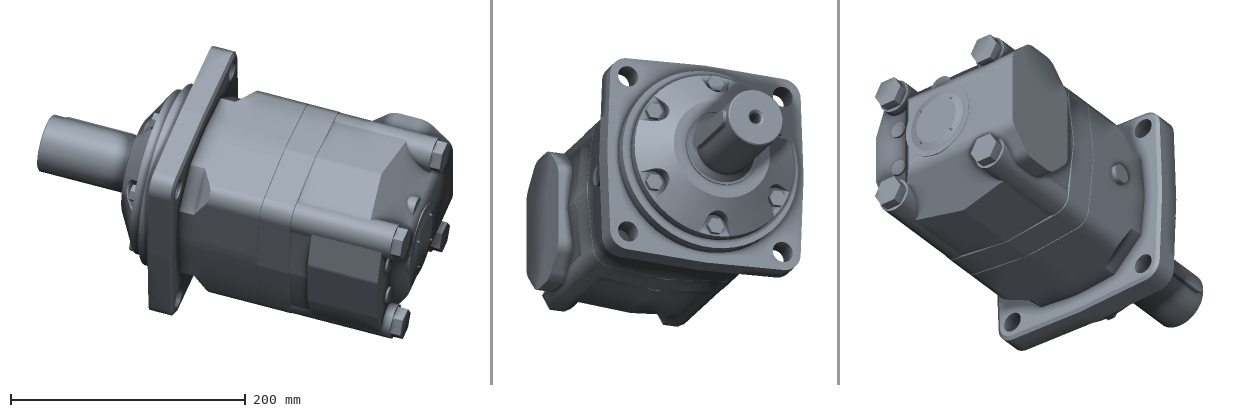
import cadquery as cq
import math


shoulder_start = 77.7
cover_face = 82.5
cone_end = 100.7
cover_back = 110.3
flange_front = 122.0
flange_back = 143.5
gear_front = 214.7
gear_back = 243.2
post_end = 332.5
rear_end = 338.7
total_length = 342.5

overrun = 3.5

shaft_radius = 25.0
shoulder_dia = 60.0
shoulder_radius = shoulder_dia / 2
shaft_chamfer = 1.0
center_hole_dia = 10.3
center_sink_dia = 14.0
center_hole_depth = 27.5
drill_point_angle = 118
key_width = 14.0
key_start = 5.5
key_end = 75.0
key_top = 28.0
key_bottom = 19.2

cover_face_radius = 44.0
cover_radius = 72.5
seal_radius = 33.5
seal_lip_radius = 32.0
seal_recess = 1.0
seal_back = 90.5
screw_circle_radius = 64.7
screw_count = 6
screw_flats = 13.0
screw_head_height = 4.5
screw_pocket_radius = 11.0
pocket_flare = 18

ridge = 72.5
corner = 65.8
corner_radius = 15.0
front_ridge_radius = 98.3
gear_edge_chamfer = 0.7

pilot_dia = 160.0
flange_height = 179.0
flange_corner = 86.3
flange_corner_radius = 16.0
flange_hole_dia = 18.0
flange_hole_place = 70.5
flange_bevel_depth = 2.0
flange_bevel_width = 3.0
relief_flat_end = 156.5
relief_flat_distance = 76.5
relief_height = 27.5

plug_x = 181.2
plug_dia = 17.0
plug_top = 76.7
plug_seat = 74.0
plug_shank_dia = 10.3
plug_bottom = 65.0
plug_boss_root = 68.5

rear_corner = 64.0
rear_corner_radius = 20.5
rear_ridge_radius = 12.5
post_dia = 30.0
post_place = 51.7
bolt_flats = 24.0
bolt_head_height = 9.0
block_start = 262.0
port_half_height = 59.0
port_face = 81.0
port_root = 41.0
port_bevel = 23.0
port_round = 16.0
side_bevel = 31.0
pad_end = 325.0
pad_face = 77.0
pad_edge = 66.8
pad_half_height = 52.0
pad_face_half = 22.5
pad_round = 8.2
pad_root = 41.0
top_boss_dia = 22.0
top_boss_z = 37.7
top_boss_end = 334.0
side_boss_dia = 14.7
side_boss_y = 51.5
side_boss_z = 20.0
side_boss_end = 327.0
boss_start = 308.2
end_disc_radius = 34.0
end_disc_start = 332.2
end_disc_face = 339.0
dome_radius = 28.0
dome_top_radius = 21.2
dome_top = 340.8
rivet_place = 16.0
rivet_radius = 1.7
rivet_tip_radius = 0.5
rivet_start = 339.8


def four_corners(place):
    """The (y, z) points of a square pattern about the shaft axis."""
    return [(y, z) for y in (-place, place) for z in (-place, place)]


def cylinder(x_start, x_end, radius, y=0, z=0):
    """Cylinder along X."""
    return cq.Workplane("YZ", origin=(x_start, y, z)).circle(radius).extrude(x_end - x_start)


def hex_head(x_start, height, flats, y, z):
    """Hexagonal head along X with two of its corners pointing to +Y and -Y."""
    across_corners = flats / math.cos(math.pi / 6)
    return cq.Workplane("YZ", origin=(x_start, y, z)).polygon(6, across_corners).extrude(height)


def revolved(profile):
    """Solid of revolution about the shaft axis from (x, radius) points."""
    return cq.Workplane("XY").polyline(profile).close().revolve(360, (0, 0, 0), (1, 0, 0))


def ridged_block(x_start, x_end, ridge_height, corner_place, rounding, ridge_rounding=0):
    """Block along X: a square with rounded corners whose sides peak at the middle."""
    r, c = ridge_height, corner_place
    outline = [(r, 0), (c, c), (0, r), (-c, c), (-r, 0), (-c, -c), (0, -r), (c, -c)]
    block = cq.Workplane("YZ", origin=(x_start, 0, 0)).polyline(outline).close().extrude(x_end - x_start)

    def edge_at(y, z):
        low = (x_start, y - overrun, z - overrun)
        high = (x_end, y + overrun, z + overrun)
        return cq.selectors.BoxSelector(low, high)

    for y, z in four_corners(c):
        block = block.edges(edge_at(y, z)).fillet(rounding)
    if ridge_rounding:
        for y, z in ((r, 0), (0, r), (-r, 0), (0, -r)):
            block = block.edges(edge_at(y, z)).fillet(ridge_rounding)
    return block


def make_key():
    middle = (key_start + key_end) / 2
    return (
        cq.Workplane("XZ", origin=(middle, key_bottom, 0))
        .slot2D(key_end - key_start, key_width)
        .extrude(-(key_top - key_bottom))
    )


def make_shaft():
    shoulder_end = shoulder_start + shoulder_radius - shaft_radius
    shaft = revolved([
        (0, 0),
        (0, shaft_radius - shaft_chamfer),
        (shaft_chamfer, shaft_radius),
        (shoulder_start, shaft_radius),
        (shoulder_end, shoulder_radius),
        (cover_back, shoulder_radius),
        (cover_back, 0),
    ])
    hole_radius = center_hole_dia / 2
    sink_radius = center_sink_dia / 2
    point_length = hole_radius / math.tan(math.radians(drill_point_angle / 2))
    center_hole = revolved([
        (0, 0),
        (0, sink_radius),
        (sink_radius - hole_radius, hole_radius),
        (center_hole_depth, hole_radius),
        (center_hole_depth + point_length, 0),
    ])
    return shaft.cut(center_hole).cut(make_key())


def make_seal():
    return revolved([
        (cover_face + seal_recess, seal_radius),
        (cover_face + seal_recess, seal_lip_radius),
        (cover_face, seal_lip_radius),
        (cover_face, shoulder_radius),
        (seal_back, shoulder_radius),
        (seal_back, seal_radius),
    ])


def screw_pocket():
    """Flared U-shaped pocket for the screw on the +Z side, open outward."""
    flare = math.radians(pocket_flare)
    side = screw_pocket_radius * math.cos(flare)
    drop = screw_pocket_radius * math.sin(flare)
    reach = cover_radius - screw_circle_radius + overrun
    outer_side = side + (reach + drop) * math.tan(flare)
    return (
        cq.Workplane("YZ", origin=(cover_face, 0, screw_circle_radius))
        .moveTo(outer_side, reach)
        .lineTo(side, -drop)
        .threePointArc((0, -screw_pocket_radius), (-side, -drop))
        .lineTo(-outer_side, reach)
        .close()
        .extrude(cone_end - cover_face)
    )


def make_cover():
    cover = revolved([
        (cover_face, seal_radius),
        (cover_face, cover_face_radius),
        (cone_end, cover_radius),
        (cover_back, cover_radius),
        (cover_back, shoulder_radius),
        (seal_back, shoulder_radius),
        (seal_back, seal_radius),
    ])
    for i in range(screw_count):
        turn = 360 / screw_count * i
        cover = cover.cut(screw_pocket().rotate((0, 0, 0), (1, 0, 0), turn))
    for i in range(screw_count):
        turn = 2 * math.pi / screw_count * i
        y = screw_circle_radius * math.sin(turn)
        z = screw_circle_radius * math.cos(turn)
        cover = cover.union(hex_head(cone_end - screw_head_height, screw_head_height, screw_flats, y, z))
    return cover


def corner_relief():
    """Nut clearance cutter beyond +Y, to be turned to a corner: a flat and a 45 degree run-out."""
    d, h = relief_flat_distance, relief_height
    width = 2 * ridge
    return (
        cq.Workplane("XY", origin=(0, 0, -width / 2))
        .polyline([(flange_back, d), (relief_flat_end, d), (relief_flat_end + h, d + h), (flange_back, d + h)])
        .close()
        .extrude(width)
    )


def plug_cylinder(y_start, y_end, diameter):
    """Cylinder along Y on the plug axis."""
    return cq.Workplane("XZ", origin=(plug_x, y_start, 0)).circle(diameter / 2).extrude(y_start - y_end)


def make_plug():
    head = plug_cylinder(plug_seat, plug_top, plug_dia)
    return head.union(plug_cylinder(plug_bottom, plug_seat, plug_shank_dia))


def make_front_housing():
    barrel = ridged_block(flange_back, gear_front, ridge, corner, corner_radius, front_ridge_radius)
    for i in range(4):
        barrel = barrel.cut(corner_relief().rotate((0, 0, 0), (1, 0, 0), 45 + 90 * i))
    flange = (
        ridged_block(flange_front, flange_back, flange_height / 2, flange_corner, flange_corner_radius)
        .faces(">X")
        .chamfer(flange_bevel_depth, flange_bevel_width)
    )
    housing = barrel.union(flange).union(cylinder(cover_back, flange_front, pilot_dia / 2))
    for y, z in four_corners(flange_hole_place):
        housing = housing.cut(cylinder(flange_front, flange_back, flange_hole_dia / 2, y, z))
    plug_boss = plug_cylinder(plug_boss_root, plug_seat, plug_dia)
    return housing.union(plug_boss).cut(make_plug())


def make_gear_set():
    gear_set = ridged_block(gear_front, gear_back, ridge, corner, corner_radius)
    return gear_set.faces("<X or >X").chamfer(gear_edge_chamfer)


def port_block():
    """Octagonal block along Y with rounded edges that carries the ports on +Y."""
    length = rear_end - block_start
    return (
        cq.Workplane("XZ", origin=((block_start + rear_end) / 2, port_root, 0))
        .rect(length, 2 * port_half_height)
        .extrude(-(port_face - port_root))
        .edges("|Y")
        .chamfer(port_bevel)
        .edges("|Y")
        .fillet(port_round)
    )


def rear_envelope():
    """Limits of the rear end: rounded bevels above and below, a sharp one on -Y."""
    reach = ridge + overrun
    end_half_height = port_half_height - port_bevel
    bevel_start = rear_end - (reach - end_half_height)
    side = (
        cq.Workplane("XZ", origin=(0, reach, 0))
        .polyline([
            (gear_back, -reach),
            (bevel_start, -reach),
            (rear_end, -end_half_height),
            (rear_end, end_half_height),
            (bevel_start, reach),
            (gear_back, reach),
        ])
        .close()
        .extrude(2 * reach)
        .edges("|Y and >X")
        .fillet(port_round)
    )
    side_bevel_run = reach - side_bevel
    side_cut = (
        cq.Workplane("XY", origin=(0, 0, -reach))
        .polyline([(rear_end, -side_bevel), (rear_end, -reach), (rear_end - side_bevel_run, -reach)])
        .close()
        .extrude(2 * reach)
    )
    return side.cut(side_cut)


def side_pad():
    """Raised pad on -Y with two sloping flanks."""
    return (
        cq.Workplane("YZ", origin=(block_start, 0, 0))
        .polyline([
            (-pad_root, -pad_half_height),
            (-pad_edge, -pad_half_height),
            (-pad_face, -pad_face_half),
            (-pad_face, pad_face_half),
            (-pad_edge, pad_half_height),
            (-pad_root, pad_half_height),
        ])
        .close()
        .extrude(pad_end - block_start)
        .edges("|X and <Y")
        .fillet(pad_round)
    )


def end_plate():
    """Shallow domed disc with four rivets on the rear face."""
    plate = revolved([
        (end_disc_start, 0),
        (end_disc_start, end_disc_radius),
        (end_disc_face, end_disc_radius),
        (end_disc_face, dome_radius),
        (dome_top, dome_top_radius),
        (dome_top, 0),
    ])
    for y, z in four_corners(rivet_place):
        rivet = (
            cq.Workplane("YZ", origin=(rivet_start, y, z))
            .circle(rivet_radius)
            .workplane(offset=total_length - rivet_start)
            .circle(rivet_tip_radius)
            .loft()
        )
        plate = plate.union(rivet)
    return plate


def make_rear_housing():
    housing = ridged_block(gear_back, rear_end, ridge, rear_corner, rear_corner_radius, rear_ridge_radius)
    housing = housing.intersect(rear_envelope()).union(port_block()).union(side_pad())
    for y, z in four_corners(post_place):
        housing = housing.union(cylinder(gear_back, post_end, post_dia / 2, y, z))
        housing = housing.union(hex_head(post_end, bolt_head_height, bolt_flats, y, z))
    housing = housing.union(cylinder(boss_start, top_boss_end, top_boss_dia / 2, 0, top_boss_z))
    for z in (-side_boss_z, side_boss_z):
        housing = housing.union(cylinder(boss_start, side_boss_end, side_boss_dia / 2, -side_boss_y, z))
    return housing.union(end_plate())


shaft = make_shaft()
key = make_key()
seal = make_seal()
cover = make_cover()
front_housing = make_front_housing()
plug = make_plug()
gear_set = make_gear_set()
rear_housing = make_rear_housing()

result = cq.Compound.makeCompound([
    shaft.val(),
    key.val(),
    seal.val(),
    cover.val(),
    front_housing.val(),
    plug.val(),
    gear_set.val(),
    rear_housing.val(),
])